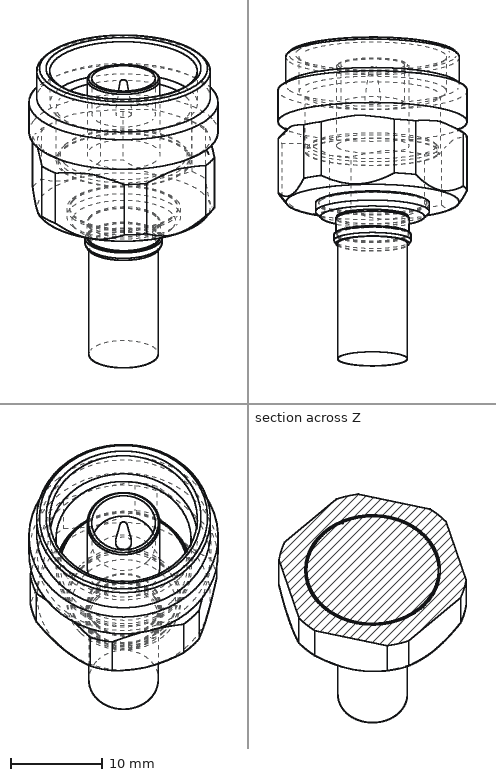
import cadquery as cq
import math

TOTAL_HEIGHT = 34.2
OUTER_RADIUS = 10.4

BARREL_RADIUS = 9.55
BARREL_CHAMFER = 0.3
BARREL_BOTTOM = 30.7
RING_SHOULDER = 30.15
RING_BOTTOM = 26.6

HEX_SIDES = 6
HEX_ACROSS_FLATS = 19.12
HEX_TOP = 24.8
HEX_CHAMFER_TOP = 18.78
NUT_BOTTOM = 17.6
NUT_BOTTOM_RADIUS = 9.5

GROOVE_RADIUS = 9.47
GROOVE_SLOPE = math.radians(30)
GROOVE_MIDDLE = (RING_BOTTOM + HEX_TOP) / 2

MOUTH_RADIUS = 8.5
MOUTH_DEPTH = 0.3
BORE_RADIUS = 8.1
BORE_BOTTOM = 30.05
LOWER_BORE_RADIUS = 7.42
LOWER_BORE_TOP = 29.6

PLATE_RADIUS = 7.25
PLATE_TOP = 23.95
PLATE_CHAMFER = 0.27
GAP_BOTTOM = 23.25

SLEEVE_RADIUS = 4.0
SLEEVE_TOP = 33.0
SLEEVE_CHAMFER = 0.17
SLEEVE_BORE_RADIUS = 3.5
SLEEVE_FLOOR = 28.73
PIN_RADIUS = 0.85
PIN_TAPER_BOTTOM = 29.4
PIN_TIP_RADIUS = 0.4
PIN_TIP_BASE = 32.42

FLANGE_RADIUS = 6.25
FLANGE_TOP = 17.48
FLANGE_BOTTOM = 15.97
FLANGE_CHAMFER = 0.55
FLANGE_NECK_RADIUS = 5.95
CORE_RADIUS = 3.95
FERRULE_RADIUS = 4.05
FERRULE_TOP = 15.75
FERRULE_BOTTOM = 14.1
COLLAR_RADIUS = 4.25
COLLAR_TOP = 13.95
COLLAR_BOTTOM = 12.95
COLLAR_CHAMFER_RADIAL = 0.2
COLLAR_CHAMFER_HEIGHT = 0.35
TAIL_RADIUS = 3.83


def revolved(outline):
    """Close an XZ outline and turn it once around the Z axis."""
    return outline.close().revolve(360, (0, 0, 0), (0, 1, 0))


def outline_from(points):
    return cq.Workplane("XZ").polyline(points)


def make_nut_blank():
    """Round outside of the nut; the groove arc is tangent to the cones on both sides."""
    cone_rise = (OUTER_RADIUS - GROOVE_RADIUS) * math.tan(GROOVE_SLOPE)
    half_gap = (RING_BOTTOM - HEX_TOP) / 2 - cone_rise
    tangent_radius = GROOVE_RADIUS + half_gap * math.cos(GROOVE_SLOPE)
    tangent_offset = half_gap * (1 + math.sin(GROOVE_SLOPE))
    outline = outline_from([
        (tangent_radius, GROOVE_MIDDLE + tangent_offset),
        (OUTER_RADIUS, RING_BOTTOM),
        (OUTER_RADIUS, RING_SHOULDER),
        (BARREL_RADIUS, BARREL_BOTTOM),
        (BARREL_RADIUS, TOTAL_HEIGHT - BARREL_CHAMFER),
        (BARREL_RADIUS - BARREL_CHAMFER, TOTAL_HEIGHT),
        (0, TOTAL_HEIGHT),
        (0, NUT_BOTTOM),
        (NUT_BOTTOM_RADIUS, NUT_BOTTOM),
        (OUTER_RADIUS, HEX_CHAMFER_TOP),
        (OUTER_RADIUS, HEX_TOP),
        (tangent_radius, GROOVE_MIDDLE - tangent_offset),
    ]).threePointArc(
        (GROOVE_RADIUS, GROOVE_MIDDLE),
        (tangent_radius, GROOVE_MIDDLE + tangent_offset),
    )
    return revolved(outline)


def make_hexagon_trim():
    """Material outside the wrench flats, below the middle of the groove."""
    hex_corner_diameter = HEX_ACROSS_FLATS / math.cos(math.pi / HEX_SIDES)
    clearing_radius = hex_corner_diameter
    return (
        cq.Workplane("XY")
        .workplane(offset=NUT_BOTTOM)
        .circle(clearing_radius)
        .polygon(HEX_SIDES, hex_corner_diameter)
        .extrude(GROOVE_MIDDLE - NUT_BOTTOM)
    )


def make_bore():
    """Space inside the nut, leaving the chamfered face plate standing."""
    return revolved(outline_from([
        (0, TOTAL_HEIGHT),
        (MOUTH_RADIUS, TOTAL_HEIGHT),
        (BORE_RADIUS, TOTAL_HEIGHT - MOUTH_DEPTH),
        (BORE_RADIUS, BORE_BOTTOM),
        (LOWER_BORE_RADIUS, LOWER_BORE_TOP),
        (LOWER_BORE_RADIUS, GAP_BOTTOM),
        (PLATE_RADIUS, GAP_BOTTOM),
        (PLATE_RADIUS, PLATE_TOP - PLATE_CHAMFER),
        (PLATE_RADIUS - PLATE_CHAMFER, PLATE_TOP),
        (0, PLATE_TOP),
    ]))


def make_contacts():
    """Contact sleeve with its floor and the tapered, round-tipped pin."""
    tip_middle = PIN_TIP_RADIUS * math.sqrt(0.5)
    outline = outline_from([
        (0, PLATE_TOP),
        (SLEEVE_RADIUS, PLATE_TOP),
        (SLEEVE_RADIUS, SLEEVE_TOP - SLEEVE_CHAMFER),
        (SLEEVE_RADIUS - SLEEVE_CHAMFER, SLEEVE_TOP),
        (SLEEVE_BORE_RADIUS, SLEEVE_TOP),
        (SLEEVE_BORE_RADIUS, SLEEVE_FLOOR),
        (PIN_RADIUS, SLEEVE_FLOOR),
        (PIN_RADIUS, PIN_TAPER_BOTTOM),
        (PIN_TIP_RADIUS, PIN_TIP_BASE),
    ]).threePointArc(
        (tip_middle, PIN_TIP_BASE + tip_middle),
        (0, PIN_TIP_BASE + PIN_TIP_RADIUS),
    )
    return revolved(outline)


def make_tail():
    return revolved(outline_from([
        (0, NUT_BOTTOM),
        (FLANGE_NECK_RADIUS, NUT_BOTTOM),
        (FLANGE_NECK_RADIUS, FLANGE_TOP),
        (FLANGE_RADIUS, FLANGE_TOP),
        (FLANGE_RADIUS, FLANGE_BOTTOM + FLANGE_CHAMFER),
        (FLANGE_RADIUS - FLANGE_CHAMFER, FLANGE_BOTTOM),
        (CORE_RADIUS, FLANGE_BOTTOM),
        (CORE_RADIUS, FERRULE_TOP),
        (FERRULE_RADIUS, FERRULE_TOP),
        (FERRULE_RADIUS, FERRULE_BOTTOM),
        (CORE_RADIUS, FERRULE_BOTTOM),
        (CORE_RADIUS, COLLAR_TOP),
        (COLLAR_RADIUS, COLLAR_TOP),
        (COLLAR_RADIUS, COLLAR_BOTTOM + COLLAR_CHAMFER_HEIGHT),
        (COLLAR_RADIUS - COLLAR_CHAMFER_RADIAL, COLLAR_BOTTOM),
        (TAIL_RADIUS, COLLAR_BOTTOM),
        (TAIL_RADIUS, 0),
        (0, 0),
    ]))


nut = make_nut_blank().cut(make_hexagon_trim()).cut(make_bore())
result = nut.union(make_tail()).union(make_contacts())